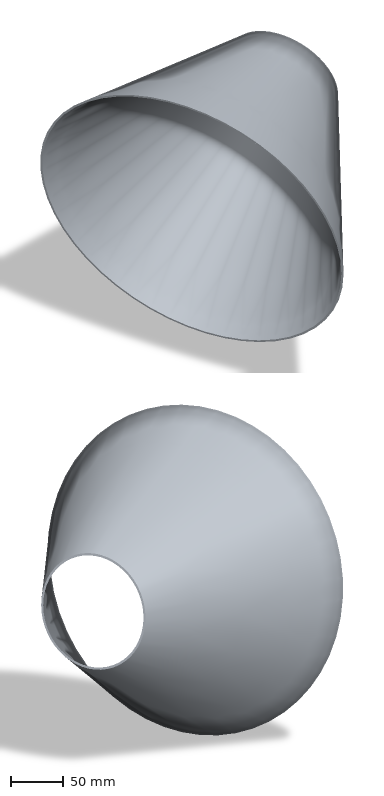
import cadquery as cq
import math

wide_diameter = 324
narrow_diameter = 114.3
length = 203.0
wall_thickness = 2.0

wide_radius = wide_diameter / 2
narrow_radius = narrow_diameter / 2

half_angle = math.atan((wide_radius - narrow_radius) / length)
radial_wall = wall_thickness / math.cos(half_angle)

wall_section = (
    cq.Workplane("XY")
    .moveTo(wide_radius - radial_wall, 0)
    .lineTo(wide_radius, 0)
    .lineTo(narrow_radius, length)
    .lineTo(narrow_radius - radial_wall, length)
    .close()
)

result = wall_section.revolve(360, (0, 0, 0), (0, 1, 0))